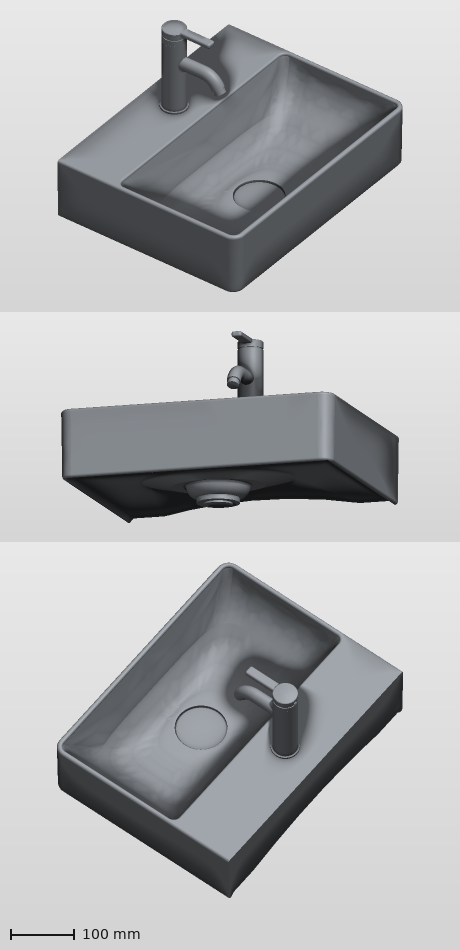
import cadquery as cq
import math


depth = 350.2
width = 450.0
height = 110.5
draft_inset = 2.0
corner_radius = 21.5
outer_edge_radius = 4.5
behind_wall = 45.0

drain_x = 227.0
rim_thickness = 9.0
rim_inner_radius = 3.5
opening_half_x = depth - rim_thickness - drain_x
opening_half_y = width / 2 - rim_thickness
opening_corner = 11.5
mouth_z = height - rim_inner_radius - 1.0
wall_half_x = 103.0
wall_half_y = 205.7
wall_corner = 36.0
wall_bow = 2.0
wall_z = 65.5
floor_half_x = 93.0
floor_half_y = 174.5
floor_exponent = 5.5
floor_points = 48
floor_z = 40.5
dish_scale = 0.8
dish_z = 20.5
outlet_z = 9.0
outlet_radius = 45.0

recess_depth = 6.8
foot_inset = 5.0 + draft_inset
arch_half_width = 160.5
arch_rise = 22.5
arch_drop = 8.0
belly_top_z = 22.5
belly_top_radii = (117.0, 198.0)
belly_bottom_radii = (54.0, 76.5)
belly_z = -3.0
bulge_radius = 52.0
bulge_lip_radius = 50.5
bulge_lip_z = -6.5
bulge_middle_radius = 46.5
bulge_middle_z = -15.5
bulge_bottom_radius = 36.0
bulge_z = -22.5

plug_radius = 41.5
plug_thickness = 5.5
plug_chamfer = 2.3
drain_radius = 34.0
drain_shoulder_z = -30.0
spigot_radius = 23.0
drain_bottom_z = -33.0
plug_top_z = outlet_z - 2.5
plug_bottom_z = plug_top_z - plug_thickness

tap_x = 60.5
flange_radius = 23.0
flange_height = 3.0
column_radius = 20.05
column_bottom_z = height + flange_height
neck_radius = 18.5
neck_height = 2.0
cap_bottom_z = height + 142.3
cap_edge_z = height + 154.0
tap_top_z = height + 155.8
cap_edge_chamfer = 1.0

tick_step = 9.4
tick_angles = [step * tick_step for step in (-14, -5, -3, -2, -1, 0, 1, 2, 4)]
tick_width = 0.68
tick_depth = 0.5
tick_length = 10.0
screw_radius = 2.93
screw_hole_depth = 6.8
screw_z = cap_bottom_z + 3.5

lever_end_x = 134.5
lever_width = 16.5
lever_thickness = 8.5
lever_top_radius = 3.0
lever_bottom_radius = 2.5
lever_corner_radius = 4.0

spout_radius = 11.05
spout_z = height + 91.5
spout_bend_x = 118.0
spout_bend_radius = 31.0
spout_bend_angle = 60.0
spout_tip_length = 3.5
aerator_radius = 9.5
aerator_neck_radius = 8.8
aerator_neck_length = 2.3
aerator_length = 9.0


def cylinder(x, radius, bottom, top):
    """Upright cylinder on the Y = 0 plane."""
    return cq.Workplane("XY", origin=(x, 0, bottom)).circle(radius).extrude(top - bottom)


def bowl_outline(z, half_x, half_y, corner, bow):
    """Rounded rectangle around the drain axis whose sides bulge outward by `bow`."""
    side_x = half_x - bow
    side_y = half_y - bow
    flat_x = side_x - corner
    flat_y = side_y - corner
    diagonal = corner * math.sqrt(0.5)
    outline = cq.Workplane("XY", origin=(drain_x, 0, z)).moveTo(side_x, -flat_y)

    def side(middle, end):
        if bow:
            return outline.threePointArc(middle, end)
        return outline.lineTo(*end)

    outline = side((half_x, 0), (side_x, flat_y))
    outline = outline.threePointArc((flat_x + diagonal, flat_y + diagonal), (flat_x, side_y))
    outline = side((0, half_y), (-flat_x, side_y))
    outline = outline.threePointArc((-flat_x - diagonal, flat_y + diagonal), (-side_x, flat_y))
    outline = side((-half_x, 0), (-side_x, -flat_y))
    outline = outline.threePointArc((-flat_x - diagonal, -flat_y - diagonal), (-flat_x, -side_y))
    outline = side((0, -half_y), (flat_x, -side_y))
    outline = outline.threePointArc((flat_x + diagonal, -flat_y - diagonal), (side_x, -flat_y))
    return outline.close().val()


def floor_outline(z, scale):
    """Superellipse around the drain axis, as large as the bowl floor when `scale` is 1."""
    points = []
    for step in range(floor_points):
        angle = 2 * math.pi * step / floor_points
        across = abs(math.cos(angle) / floor_half_x) ** floor_exponent
        along = abs(math.sin(angle) / floor_half_y) ** floor_exponent
        radius = scale * (across + along) ** (-1 / floor_exponent)
        points.append(cq.Vector(
            drain_x + radius * math.cos(angle),
            radius * math.sin(angle),
            z,
        ))
    return cq.Wire.assembleEdges([cq.Edge.makeSpline(points, periodic=True)])


def make_block():
    """Drafted block, rounded on every edge except those at the wall."""
    draft_slope = draft_inset / height
    draft_angle = math.degrees(math.atan(draft_slope))
    top_overhang = draft_slope * outer_edge_radius
    length = depth + top_overhang + behind_wall
    block = (
        cq.Workplane("XY", origin=(length / 2 - behind_wall, 0, height))
        .sketch()
        .rect(length, width + 2 * top_overhang)
        .vertices()
        .fillet(corner_radius)
        .finalize()
        .extrude(-height, taper=draft_angle)
        .faces("<Z or >Z")
        .edges()
        .fillet(outer_edge_radius)
    )
    behind = cq.Workplane("XY").box(2 * behind_wall, 2 * width, 4 * height)
    return block.cut(behind.translate((-behind_wall, 0, 0)))


def cut_opening(block):
    """Upright mouth of the bowl with a rounded upper edge."""
    outline = bowl_outline(mouth_z, opening_half_x, opening_half_y, opening_corner, 0)
    mouth = cq.Solid.extrudeLinear(outline, [], cq.Vector(0, 0, height - mouth_z))
    rim = cq.selectors.BoxSelector(
        (drain_x - outlet_radius - opening_half_x, -opening_half_y, mouth_z),
        (drain_x + opening_half_x, opening_half_y, height + rim_inner_radius),
    )
    block = block.cut(cq.Workplane(mouth))
    return block.faces(">Z").edges(rim).fillet(rim_inner_radius)


def make_bowl():
    """Hollow of the bowl: curved walls above a floor that falls to the outlet."""
    opening = bowl_outline(mouth_z, opening_half_x, opening_half_y, opening_corner, 0)
    wall = bowl_outline(wall_z, wall_half_x, wall_half_y, wall_corner, wall_bow)
    floor = floor_outline(floor_z, 1)
    dish = floor_outline(dish_z, dish_scale)
    outlet = cq.Wire.makeCircle(outlet_radius, cq.Vector(drain_x, 0, outlet_z), cq.Vector(0, 0, 1))
    walls = cq.Solid.makeLoft([opening, wall, floor])
    funnel = cq.Solid.makeLoft([floor, dish, outlet])
    return walls, funnel


def make_foot_recess():
    """Shallow recess under the basin with 45 degree sides, open at the wall."""
    length = depth - foot_inset + behind_wall
    return (
        cq.Workplane("XY")
        .center(length / 2 - behind_wall, 0)
        .rect(length, width - 2 * foot_inset)
        .extrude(recess_depth, taper=45)
    )


def make_arch_cut():
    """Arched cut at the wall that slopes down to the foot recess."""
    slope = math.degrees(math.atan2(arch_drop, drain_x))
    return (
        cq.Workplane("YZ", origin=(-4.5, 0, 0))
        .moveTo(-arch_half_width, recess_depth)
        .threePointArc((0, arch_rise), (arch_half_width, recess_depth))
        .lineTo(arch_half_width, -arch_rise)
        .lineTo(-arch_half_width, -arch_rise)
        .close()
        .extrude(drain_x)
        .rotate((0, 0, arch_rise), (0, 1, arch_rise), slope)
    )


def make_belly():
    """Bulging underside of the bowl and the round boss that holds the drain."""
    belly = (
        cq.Workplane("XY", origin=(drain_x, 0, belly_top_z))
        .ellipse(*belly_top_radii)
        .workplane(offset=belly_z - belly_top_z)
        .ellipse(*belly_bottom_radii)
        .loft()
    )
    bulge = (
        cq.Workplane("XZ", origin=(drain_x, 0, 0))
        .moveTo(0, recess_depth)
        .lineTo(bulge_radius, recess_depth)
        .lineTo(bulge_radius, belly_z)
        .lineTo(bulge_lip_radius, bulge_lip_z)
        .threePointArc((bulge_middle_radius, bulge_middle_z), (bulge_bottom_radius, bulge_z))
        .lineTo(0, bulge_z)
        .close()
        .revolve(360, (0, 0, 0), (0, 1, 0))
    )
    return belly.union(bulge)


def make_basin():
    walls, funnel = make_bowl()
    basin = cut_opening(make_block())
    basin = basin.cut(make_foot_recess()).cut(make_arch_cut()).union(make_belly())
    basin = basin.cut(cq.Workplane(walls)).cut(cq.Workplane(funnel))
    basin = basin.cut(cylinder(drain_x, plug_radius, plug_bottom_z, outlet_z))
    return basin.cut(cylinder(drain_x, drain_radius, bulge_z, plug_bottom_z))


def make_plug():
    plug = cylinder(drain_x, plug_radius, plug_bottom_z, plug_top_z)
    return plug.faces(">Z").edges().chamfer(plug_chamfer)


def make_drain():
    drain = cylinder(drain_x, drain_radius, drain_shoulder_z, plug_bottom_z)
    return drain.union(cylinder(drain_x, spigot_radius, drain_bottom_z, drain_shoulder_z))


def make_flange():
    return cylinder(tap_x, flange_radius, height, column_bottom_z)


def make_column():
    """Tap column with a narrow neck below the cap and an engraved temperature scale."""
    neck_bottom_z = cap_bottom_z - neck_height
    column = cylinder(tap_x, column_radius, column_bottom_z, neck_bottom_z)
    column = column.union(cylinder(tap_x, neck_radius, neck_bottom_z, cap_bottom_z))
    for angle in tick_angles:
        tick = (
            cq.Workplane("XY")
            .box(tick_width, 2 * tick_depth, tick_length, centered=(True, True, False))
            .translate((tap_x, -column_radius, neck_bottom_z - tick_length))
            .rotate((tap_x, 0, 0), (tap_x, 0, 1), angle)
        )
        column = column.cut(tick)
    return column


def make_cap():
    """Cap with a shallow domed top and a screw hole on the wall side."""
    dome_edge_radius = column_radius - cap_edge_chamfer
    dome_rise = tap_top_z - cap_edge_z
    dome_radius = (dome_edge_radius**2 + dome_rise**2) / (2 * dome_rise)
    half_angle = math.asin(dome_edge_radius / dome_radius) / 2
    dome_middle = (
        dome_radius * math.sin(half_angle),
        tap_top_z - dome_radius * (1 - math.cos(half_angle)),
    )
    cap = (
        cq.Workplane("XZ", origin=(tap_x, 0, 0))
        .moveTo(0, cap_bottom_z)
        .lineTo(column_radius, cap_bottom_z)
        .lineTo(column_radius, cap_edge_z - cap_edge_chamfer)
        .lineTo(dome_edge_radius, cap_edge_z)
        .threePointArc(dome_middle, (0, tap_top_z))
        .close()
        .revolve(360, (0, 0, 0), (0, 1, 0))
    )
    screw_hole = (
        cq.Workplane("YZ", origin=(tap_x - column_radius, 0, screw_z))
        .circle(screw_radius)
        .extrude(screw_hole_depth)
    )
    return cap.cut(screw_hole)


def make_lever():
    """Flat bar with rounded edges and end, reaching out from the cap."""
    length = lever_end_x - tap_x
    bar = (
        cq.Workplane("XY")
        .box(length, lever_width, lever_thickness, centered=(False, True, False))
        .translate((tap_x, 0, tap_top_z - lever_thickness))
        .edges("|Z and >X")
        .fillet(lever_corner_radius)
    )
    bar = bar.faces(">Z").edges("not <X").fillet(lever_top_radius)
    bar = bar.faces("<Z").edges("not <X").fillet(lever_bottom_radius)
    return bar.cut(cylinder(tap_x, column_radius - cap_edge_chamfer, height, tap_top_z))


def make_handle():
    return make_cap().union(make_lever())


def spout_tip():
    """Workplane across the end of the spout, facing along its outlet."""
    angle = math.radians(spout_bend_angle)
    direction = (math.cos(angle), 0, -math.sin(angle))
    x = spout_bend_x + spout_bend_radius * math.sin(angle) + spout_tip_length * direction[0]
    z = spout_z - spout_bend_radius * (1 - math.cos(angle)) + spout_tip_length * direction[2]
    return cq.Workplane(cq.Plane(origin=(x, 0, z), xDir=(0, 1, 0), normal=direction))


def make_spout():
    """Round spout: a straight run, a bend and a short straight end."""
    straight = (
        cq.Workplane("YZ", origin=(tap_x, 0, spout_z))
        .circle(spout_radius)
        .extrude(spout_bend_x - tap_x)
    )
    bend = (
        cq.Workplane("YZ", origin=(spout_bend_x, 0, spout_z))
        .circle(spout_radius)
        .revolve(spout_bend_angle, (-4.5, -spout_bend_radius, 0), (4.5, -spout_bend_radius, 0))
    )
    tip = spout_tip().circle(spout_radius).extrude(-spout_tip_length)
    return straight.union(bend).union(tip).cut(cylinder(tap_x, column_radius, height, tap_top_z))


def make_aerator():
    """Outlet insert: a narrow neck against the spout and a wider ring."""
    ring_length = aerator_length - aerator_neck_length
    neck = spout_tip().circle(aerator_neck_radius).extrude(aerator_neck_length)
    ring = (
        spout_tip().workplane(offset=aerator_neck_length).circle(aerator_radius).extrude(ring_length)
    )
    return neck.union(ring)


basin = make_basin()
plug = make_plug()
drain = make_drain()
flange = make_flange()
column = make_column()
handle = make_handle()
spout = make_spout()
aerator = make_aerator()

result = cq.Compound.makeCompound([
    basin.val(),
    plug.val(),
    drain.val(),
    flange.val(),
    column.val(),
    handle.val(),
    spout.val(),
    aerator.val(),
])